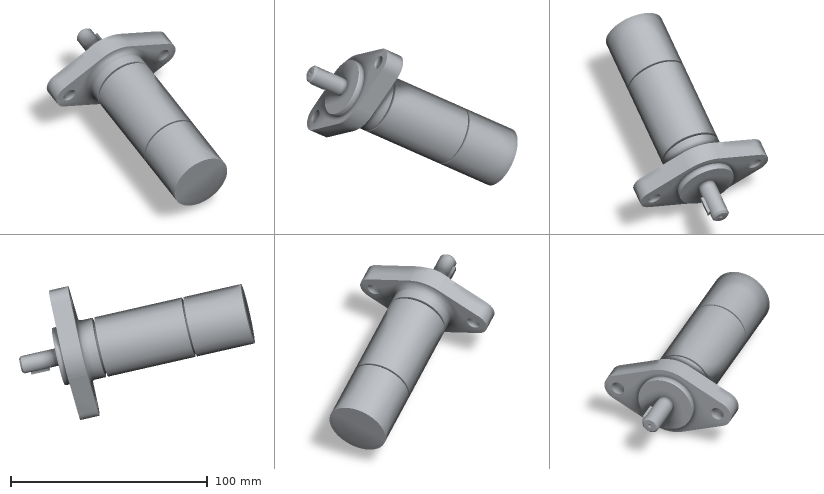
import cadquery as cq
import math

shaft_length = 19.75
pilot_length = 3.25
flange_thickness = 10.0
neck_length = 8.0
front_groove_width = 1.2
main_body_length = 45.5
rear_groove_width = 1.0
overall_length = 118.7

flange_front_x = shaft_length + pilot_length
flange_back_x = flange_front_x + flange_thickness
front_groove_x = flange_back_x + neck_length
main_body_x = front_groove_x + front_groove_width
rear_groove_x = main_body_x + main_body_length
rear_body_x = rear_groove_x + rear_groove_width

shaft_diameter = 9.0
shaft_chamfer = 1.0
centre_hole_diameter = 1.0
centre_hole_depth = 2.0
countersink_diameter = 2.12
countersink_angle = 60.0
pilot_diameter = 30.0
pilot_chamfer_depth = 0.2
pilot_chamfer_angle = 15.0
pilot_chamfer_length = pilot_chamfer_depth / math.tan(math.radians(pilot_chamfer_angle))
shaft_clearance_diameter = 9.5
shaft_clearance_depth = 1.0
body_diameter = 31.0
front_groove_diameter = 26.92
rear_groove_diameter = 26.78
neck_fillet = 2.5

flange_length = 70.0
flange_centre_radius = 19.0
flange_end_radius = 7.5
flange_hole_diameter = 7.0
flange_hole_offset = flange_length / 2 - flange_end_radius

key_disc_diameter = 10.36
key_height = 3.7
key_width = 3.0
key_top_y = 5.7
key_centre_x = 8.9


def cylinder(start_x, length, diameter):
    """Cylinder on the motor axis, running in +X from start_x."""
    return cq.Workplane("YZ", origin=(start_x, 0, 0)).circle(diameter / 2).extrude(length)


def make_shaft():
    """Output shaft with a chamfered tip, running back to the flange."""
    shaft = cylinder(0, flange_front_x, shaft_diameter)
    return shaft.faces("<X").edges().chamfer(shaft_chamfer)


def make_key():
    """Segment of a disc lying in the XY plane; its flat side faces +Y."""
    disc_centre_y = key_top_y - key_height + key_disc_diameter / 2
    disc = (
        cq.Workplane("XY", origin=(key_centre_x, disc_centre_y, -key_width / 2))
        .circle(key_disc_diameter / 2)
        .extrude(key_width)
    )
    keep = cq.Workplane("XY").box(key_disc_diameter, key_height, key_width)
    return disc.intersect(keep.translate((key_centre_x, key_top_y - key_height / 2, 0)))


def make_pilot():
    """Locating spigot with a shallow lead-in chamfer and a clearance ring around the shaft."""
    pilot = cylinder(shaft_length, pilot_length, pilot_diameter)
    pilot = pilot.faces("<X").edges().chamfer(pilot_chamfer_length, pilot_chamfer_depth)
    clearance = cylinder(shaft_length, shaft_clearance_depth, shaft_clearance_diameter)
    return pilot.cut(clearance)


def make_flange():
    """Rhombic flange: a large centre arc joined by tangent lines to two small end arcs."""
    tangent_sin = (flange_centre_radius - flange_end_radius) / flange_hole_offset
    tangent_cos = math.sqrt(1 - tangent_sin**2)
    centre_y = flange_centre_radius * tangent_sin
    centre_z = flange_centre_radius * tangent_cos
    end_y = flange_hole_offset + flange_end_radius * tangent_sin
    end_z = flange_end_radius * tangent_cos
    tip_y = flange_length / 2
    plate = (
        cq.Workplane("YZ", origin=(flange_front_x, 0, 0))
        .moveTo(-centre_y, centre_z)
        .threePointArc((0, flange_centre_radius), (centre_y, centre_z))
        .lineTo(end_y, end_z)
        .threePointArc((tip_y, 0), (end_y, -end_z))
        .lineTo(centre_y, -centre_z)
        .threePointArc((0, -flange_centre_radius), (-centre_y, -centre_z))
        .lineTo(-end_y, -end_z)
        .threePointArc((-tip_y, 0), (-end_y, end_z))
        .close()
        .extrude(flange_thickness)
    )
    holes = (
        cq.Workplane("YZ", origin=(flange_front_x, 0, 0))
        .pushPoints([(-flange_hole_offset, 0), (flange_hole_offset, 0)])
        .circle(flange_hole_diameter / 2)
        .extrude(flange_thickness)
    )
    return plate.cut(holes)


def make_neck():
    """Neck behind the flange, flared by a concave fillet where it meets the flange."""
    radius = body_diameter / 2
    flare_radius = radius + neck_fillet
    fillet_end_x = flange_back_x + neck_fillet
    arc_drop = neck_fillet * math.sqrt(0.5)
    return (
        cq.Workplane("XY")
        .moveTo(flange_back_x, 0)
        .lineTo(flange_back_x, flare_radius)
        .threePointArc((fillet_end_x - arc_drop, flare_radius - arc_drop), (fillet_end_x, radius))
        .lineTo(front_groove_x, radius)
        .lineTo(front_groove_x, 0)
        .close()
        .revolve(360, (0, 0, 0), (1, 0, 0))
    )


def make_body():
    """Gearbox and motor cylinders, separated by two narrow grooves."""
    front_groove = cylinder(front_groove_x, front_groove_width, front_groove_diameter)
    main_body = cylinder(main_body_x, main_body_length, body_diameter)
    rear_groove = cylinder(rear_groove_x, rear_groove_width, rear_groove_diameter)
    rear_body = cylinder(rear_body_x, overall_length - rear_body_x, body_diameter)
    return front_groove.union(main_body).union(rear_groove).union(rear_body)


def make_centre_hole():
    """Cutter for the centre hole in the shaft tip, with a conical countersink."""
    hole_radius = centre_hole_diameter / 2
    rim_radius = countersink_diameter / 2
    countersink_depth = (rim_radius - hole_radius) / math.tan(math.radians(countersink_angle / 2))
    return (
        cq.Workplane("XY")
        .moveTo(0, 0)
        .lineTo(0, rim_radius)
        .lineTo(countersink_depth, hole_radius)
        .lineTo(centre_hole_depth, hole_radius)
        .lineTo(centre_hole_depth, 0)
        .close()
        .revolve(360, (0, 0, 0), (1, 0, 0))
    )


result = (
    make_pilot()
    .union(make_flange())
    .union(make_neck())
    .union(make_body())
    .union(make_shaft())
    .union(make_key())
    .cut(make_centre_hole())
)